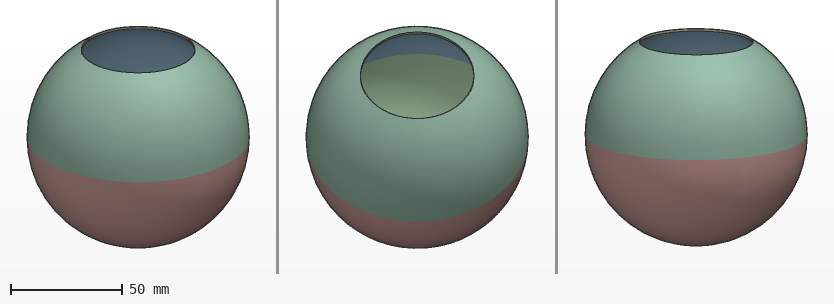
import cadquery as cq
import math

outer_radius = 50.0
wall = 1.0
rim_height = 43.0

inner_radius = outer_radius - wall
rim_radius = math.sqrt(outer_radius**2 - rim_height**2)
inner_rim_height = math.sqrt(inner_radius**2 - rim_radius**2)


def arc_point(radius, angle):
    """Point in the XZ plane at an angle in degrees above the equator."""
    return (radius * math.cos(math.radians(angle)), radius * math.sin(math.radians(angle)))


lower_mid_angle = -45
upper_mid_angle = 30
profile = (
    cq.Workplane("XZ")
    .moveTo(0, -outer_radius)
    .threePointArc(arc_point(outer_radius, lower_mid_angle), (outer_radius, 0))
    .threePointArc(arc_point(outer_radius, upper_mid_angle), (rim_radius, rim_height))
    .lineTo(rim_radius, inner_rim_height)
    .threePointArc(arc_point(inner_radius, upper_mid_angle), (inner_radius, 0))
    .threePointArc(arc_point(inner_radius, lower_mid_angle), (0, -inner_radius))
    .close()
)

result = profile.revolve(360, (0, 0, 0), (0, 1, 0), clean=False)